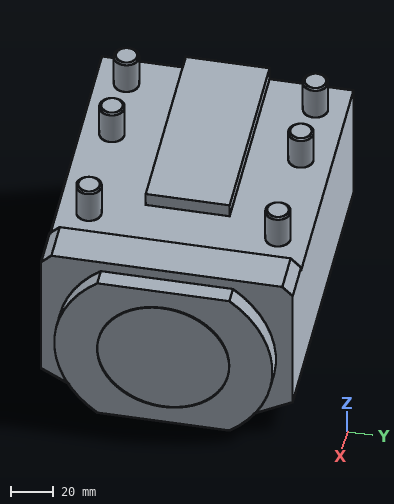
import cadquery as cq

body_length = 146.0
body_width = 120.0
deck_height = 82.0
lower_bevel_width = 28.0
lower_bevel_height = 16.1

raised_height = 7.0
key_length = 96.0
key_width = 40.0
end_bar_length = 20.0
end_bar_bevel = 5.0

pin_diameter = 12.0
pin_chamfer = 1.0
pin_height = 18.0
pin_x_positions = (16.0, 51.0, 106.0)
pin_row_spacing = 90.0

flange_diameter = 104.0
flange_flat_distance = 82.8
flange_thickness = 8.5
flange_axis_height = 42.0
face_disc_diameter = 63.0
overall_length = 155
face_disc_thickness = overall_length - body_length - flange_thickness

half_width = body_width / 2
top_height = deck_height + raised_height


def make_body():
    """Block with two sloping faces leading down to a narrower underside."""
    floor_half_width = half_width - lower_bevel_width
    return (
        cq.Workplane("YZ")
        .polyline([
            (-floor_half_width, 0),
            (floor_half_width, 0),
            (half_width, lower_bevel_height),
            (half_width, deck_height),
            (-half_width, deck_height),
            (-half_width, lower_bevel_height),
        ])
        .close()
        .extrude(body_length)
    )


def make_key():
    """Central raised strip starting at the free end of the body."""
    return cq.Workplane("XY").workplane(offset=deck_height).center(key_length / 2, 0).rect(
        key_length, key_width
    ).extrude(raised_height)


def make_end_bar():
    """Full-width bar beside the flange; its bevels start just above the deck."""
    bar_top_half_width = half_width - end_bar_bevel
    bevel_start = top_height - end_bar_bevel
    return (
        cq.Workplane("YZ", origin=(body_length - end_bar_length, 0, 0))
        .polyline([
            (-half_width, deck_height),
            (half_width, deck_height),
            (half_width, bevel_start),
            (bar_top_half_width, top_height),
            (-bar_top_half_width, top_height),
            (-half_width, bevel_start),
        ])
        .close()
        .extrude(end_bar_length)
    )


def make_pins():
    """Two rows of pins with chamfered tips."""
    pin_centres = [
        (x, side * pin_row_spacing / 2)
        for x in pin_x_positions
        for side in (-1, 1)
    ]
    return (
        cq.Workplane("XY", origin=(0, 0, deck_height))
        .pushPoints(pin_centres)
        .circle(pin_diameter / 2)
        .extrude(pin_height)
        .faces(">Z")
        .edges()
        .chamfer(pin_chamfer)
    )


def make_flange():
    """Disc with two horizontal flats, carrying the thin face disc."""
    flange_plane = cq.Workplane("YZ", origin=(body_length, 0, flange_axis_height))
    disc = flange_plane.circle(flange_diameter / 2).extrude(flange_thickness)
    flats = flange_plane.rect(flange_diameter, flange_flat_distance).extrude(flange_thickness)
    face_disc = (
        flange_plane.workplane(offset=flange_thickness)
        .circle(face_disc_diameter / 2)
        .extrude(face_disc_thickness)
    )
    return disc.intersect(flats).union(face_disc)


result = (
    make_body()
    .union(make_key())
    .union(make_end_bar())
    .union(make_pins())
    .union(make_flange())
)